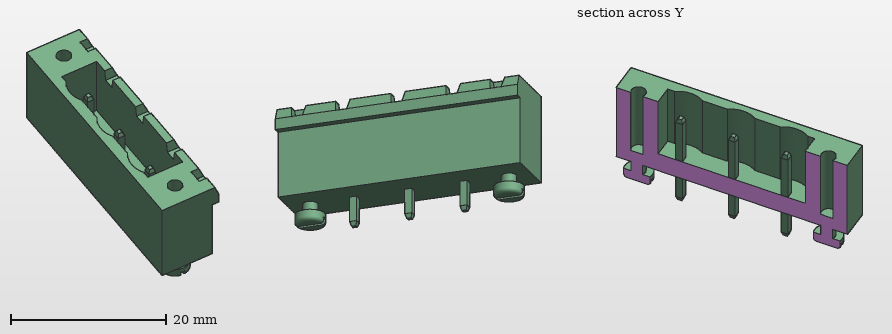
import cadquery as cq

LENGTH = 33.44
DEPTH = 7.6
HEIGHT = 12.0

LIP_REACH = 1.0
LIP_HEIGHT = 3.0
LIP_SLOPE_DEPTH = 0.6
LIP_SLOPE_HEIGHT = 1.5
REAR_Y = DEPTH + LIP_REACH

PITCH = 7.62
CENTRE_Y = DEPTH / 2
FLANGE_INSET = 3.0
FLANGE_X = LENGTH / 2 - FLANGE_INSET
CONTACT_XS = (-PITCH, 0, PITCH)
FLANGE_XS = (-FLANGE_X, FLANGE_X)

CAVITY_END_WALL = 6.1
CAVITY_LENGTH = LENGTH - 2 * CAVITY_END_WALL
CAVITY_FRONT_Y = 1.6
CAVITY_REAR_Y = 6.85
CAVITY_DEPTH = 9.0
CAVITY_FLOOR_Z = HEIGHT - CAVITY_DEPTH
ARCH_WIDTH = 4.0
ARCH_RISE = 0.6

NOTCH_TOP_WIDTH = 2.0
NOTCH_FLOOR_WIDTH = 1.5
NOTCH_DEPTH = 1.5

PIN_WIDTH = 1.0
PIN_TIP_WIDTH = 0.6
PIN_TAPER = 0.6
PIN_BOTTOM_Z = -4.0
PIN_TOP_Z = 10.0

SCREW_HOLE_DIAMETER = 2.0
SCREW_HOLE_DEPTH = 10.0
SHANK_DIAMETER = 2.0
SHANK_LENGTH = 1.5
HEAD_DIAMETER = 4.0
HEAD_HEIGHT = 1.5
HEAD_FILLET = 0.5
SLOT_WIDTH = 0.6
SLOT_DEPTH = 0.8


def make_housing():
    """Housing profile with the lip, extruded along X."""
    return (
        cq.Workplane("YZ")
        .moveTo(0, 0)
        .lineTo(DEPTH, 0)
        .lineTo(DEPTH, HEIGHT - LIP_HEIGHT)
        .lineTo(REAR_Y, HEIGHT - LIP_HEIGHT)
        .lineTo(REAR_Y, HEIGHT - LIP_SLOPE_HEIGHT)
        .lineTo(REAR_Y - LIP_SLOPE_DEPTH, HEIGHT)
        .lineTo(0, HEIGHT)
        .close()
        .extrude(LENGTH / 2, both=True)
    )


def make_cavity():
    """Cavity volume whose front edge bulges forward at every contact."""
    half_length = CAVITY_LENGTH / 2
    outline = (
        cq.Workplane("XY", origin=(0, 0, CAVITY_FLOOR_Z))
        .moveTo(half_length, CAVITY_REAR_Y)
        .lineTo(-half_length, CAVITY_REAR_Y)
        .lineTo(-half_length, CAVITY_FRONT_Y)
    )
    for x in CONTACT_XS:
        outline = outline.lineTo(x - ARCH_WIDTH / 2, CAVITY_FRONT_Y).threePointArc(
            (x, CAVITY_FRONT_Y - ARCH_RISE),
            (x + ARCH_WIDTH / 2, CAVITY_FRONT_Y),
        )
    return outline.lineTo(half_length, CAVITY_FRONT_Y).close().extrude(CAVITY_DEPTH)


def make_notch(x):
    """Trapezoidal notch running from the cavity's rear wall out through the lip."""
    floor_z = HEIGHT - NOTCH_DEPTH
    return (
        cq.Workplane("XZ", origin=(x, REAR_Y, 0))
        .moveTo(-NOTCH_TOP_WIDTH / 2, HEIGHT)
        .lineTo(NOTCH_TOP_WIDTH / 2, HEIGHT)
        .lineTo(NOTCH_FLOOR_WIDTH / 2, floor_z)
        .lineTo(-NOTCH_FLOOR_WIDTH / 2, floor_z)
        .close()
        .extrude(REAR_Y - CAVITY_REAR_Y)
    )


def make_pin(x):
    """Square contact pin standing through the cavity floor, tapered to both tips."""
    shaft_bottom_z = PIN_BOTTOM_Z + PIN_TAPER
    shaft_top_z = PIN_TOP_Z - PIN_TAPER
    shaft = (
        cq.Workplane("XY", origin=(x, CENTRE_Y, shaft_bottom_z))
        .rect(PIN_WIDTH, PIN_WIDTH)
        .extrude(shaft_top_z - shaft_bottom_z)
    )
    for start_z, end_z in ((shaft_bottom_z, PIN_BOTTOM_Z), (shaft_top_z, PIN_TOP_Z)):
        tip = (
            cq.Workplane("XY", origin=(x, CENTRE_Y, start_z))
            .rect(PIN_WIDTH, PIN_WIDTH)
            .workplane(offset=end_z - start_z)
            .rect(PIN_TIP_WIDTH, PIN_TIP_WIDTH)
            .loft(ruled=True)
        )
        shaft = shaft.union(tip)
    return shaft


def make_screw(x):
    """Slotted round head on a shank below the housing."""
    head_bottom_z = -SHANK_LENGTH - HEAD_HEIGHT
    head = (
        cq.Workplane("XY", origin=(x, CENTRE_Y, head_bottom_z))
        .circle(HEAD_DIAMETER / 2)
        .extrude(HEAD_HEIGHT)
        .faces("<Z")
        .edges()
        .fillet(HEAD_FILLET)
    )
    slot = (
        cq.Workplane("XY", origin=(x, CENTRE_Y, head_bottom_z))
        .rect(HEAD_DIAMETER, SLOT_WIDTH)
        .extrude(SLOT_DEPTH)
    )
    shank = (
        cq.Workplane("XY", origin=(x, CENTRE_Y, -SHANK_LENGTH))
        .circle(SHANK_DIAMETER / 2)
        .extrude(SHANK_LENGTH)
    )
    return head.cut(slot).union(shank)


def make_screw_hole(x):
    """Blind hole down from the top face, on the screw axis."""
    return (
        cq.Workplane("XY", origin=(x, CENTRE_Y, HEIGHT - SCREW_HOLE_DEPTH))
        .circle(SCREW_HOLE_DIAMETER / 2)
        .extrude(SCREW_HOLE_DEPTH)
    )


result = make_housing().cut(make_cavity())

for notch_x in CONTACT_XS + FLANGE_XS:
    result = result.cut(make_notch(notch_x))

for flange_x in FLANGE_XS:
    result = result.cut(make_screw_hole(flange_x)).union(make_screw(flange_x))

for contact_x in CONTACT_XS:
    result = result.union(make_pin(contact_x))